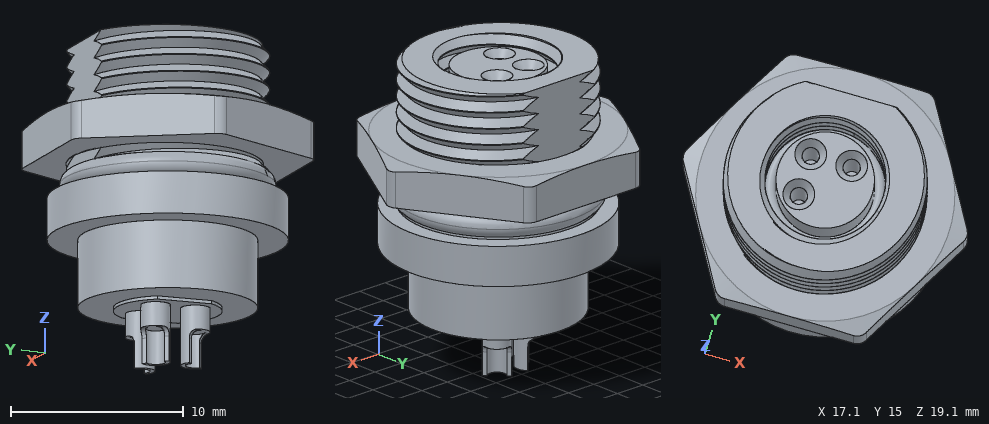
import cadquery as cq
import math

TOTAL_HEIGHT = 19.1

PITCHES_PER_BARREL = 9
THREAD_DEPTH = 0.45
CREST_FLAT = 0.05
GROOVE_OVERSHOOT = 0.02

TAIL_BOTTOM = 3.6
TAIL_RADIUS = 5.21
FLANGE_BOTTOM = 7.6
FLANGE_TOP = 10.1
FLANGE_RADIUS = 7.0
BARREL_RADIUS = 5.9
BARREL_FLAT_Y = 5.2
GROOVE_TURNS = 7.5
GROOVE_START = 90.0
SEAL_TUBE_RADIUS = 0.7
SEAL_OUTER_RADIUS = 6.26
SEAL_HEIGHT = 10.87

MOUTH_RADIUS = 3.5
MOUTH_DEPTH = 3.0
MOUTH_CHAMFER = 0.23
MOUTH_GROOVE_TURNS = 2.5
MOUTH_GROOVE_START = 78.0
INSERT_RADIUS = 2.85
INSERT_RECESS = 0.44

CONTACT_OFFSET = 1.232
CONTACT_QUADRANTS = [(-1, 1), (-1, -1), (1, 1)]
SOCKET_RADIUS = 0.5
SOCKET_DEPTH = 4.0
COUNTERSINK_RADIUS = 0.92
COUNTERSINK_DEPTH = 0.5
PIN_RADIUS = 0.85
CUP_RADIUS = 0.57
CUP_HEIGHT = 1.99
CUP_FILLET = 0.5

BOSS_RADIUS = 3.15
BOSS_WIDTH = 5.35
BOSS_HEIGHT = 0.2

NUT_ACROSS_FLATS = 15.0
NUT_BOTTOM = 12.09
NUT_THICKNESS = 2.5
NUT_CORNER_RADIUS = 0.76
NUT_CHAMFER_ANGLE = 15.0
NUT_BORE_RADIUS = 5.54
NUT_TURN = 30.0

PITCH = (TOTAL_HEIGHT - FLANGE_TOP) / PITCHES_PER_BARREL
BARREL_ROOT_RADIUS = BARREL_RADIUS - THREAD_DEPTH
MOUTH_ROOT_RADIUS = MOUTH_RADIUS + THREAD_DEPTH
ROD_TOP = TOTAL_HEIGHT + 2 * PITCH
MOUTH_FLOOR = TOTAL_HEIGHT - MOUTH_DEPTH
INSERT_TOP = TOTAL_HEIGHT - INSERT_RECESS
NUT_TOP = NUT_BOTTOM + NUT_THICKNESS
BOSS_BOTTOM = TAIL_BOTTOM - BOSS_HEIGHT


def disc(radius, bottom, top):
    """Upright cylinder on the Z axis between two heights."""
    return cq.Workplane("XY").workplane(offset=bottom).circle(radius).extrude(top - bottom)


def thread_groove(crest_radius, root_radius, turns, start_angle):
    """V-shaped helical cutter that starts `turns` below the top face at `start_angle` from +X.

    It runs one more turn above the top face, so that the thread is cut through there.
    """
    outward = math.copysign(1, crest_radius - root_radius)
    half_width = (PITCH - CREST_FLAT) / 2
    stretch = 1 + GROOVE_OVERSHOOT / THREAD_DEPTH
    base_radius = root_radius + outward * THREAD_DEPTH * stretch
    base_half = half_width * stretch
    helix = cq.Wire.makeHelix(PITCH, (turns + 1) * PITCH, root_radius)
    profile = (
        cq.Workplane("XZ")
        .moveTo(root_radius, 0)
        .lineTo(base_radius, base_half)
        .lineTo(base_radius, -base_half)
        .close()
    )
    groove = profile.sweep(cq.Workplane(obj=helix), isFrenet=True)
    return groove.rotate((0, 0, 0), (0, 0, 1), start_angle).translate((0, 0, TOTAL_HEIGHT - turns * PITCH))


def make_threaded_rod():
    """Round rod with the outer thread, longer than the barrel so that both threads run past its end."""
    rod = disc(BARREL_RADIUS, FLANGE_TOP, ROD_TOP)
    return rod.cut(thread_groove(BARREL_RADIUS, BARREL_ROOT_RADIUS, GROOVE_TURNS, GROOVE_START))


def trim_to_barrel(rod):
    """Cut the rod off at the top face of the housing."""
    return rod.intersect(disc(2 * BARREL_RADIUS, FLANGE_TOP, TOTAL_HEIGHT))


def make_barrel(rod):
    """Barrel with the threaded mouth, its entry chamfer and the flat on the +Y side."""
    bored = rod.cut(disc(MOUTH_RADIUS, MOUTH_FLOOR, ROD_TOP))
    bored = bored.cut(thread_groove(MOUTH_RADIUS, MOUTH_ROOT_RADIUS, MOUTH_GROOVE_TURNS, MOUTH_GROOVE_START))
    entry = (
        cq.Workplane("XZ")
        .moveTo(0, TOTAL_HEIGHT - MOUTH_CHAMFER)
        .lineTo(MOUTH_RADIUS, TOTAL_HEIGHT - MOUTH_CHAMFER)
        .lineTo(MOUTH_RADIUS + MOUTH_CHAMFER, TOTAL_HEIGHT)
        .lineTo(0, TOTAL_HEIGHT)
        .close()
        .revolve(360, (0, 0, 0), (0, 1, 0))
    )
    flat = (
        cq.Workplane("XY")
        .box(2 * BARREL_RADIUS, BARREL_RADIUS, TOTAL_HEIGHT, centered=(True, False, False))
        .translate((0, BARREL_FLAT_Y, SEAL_HEIGHT))
    )
    return trim_to_barrel(bored).cut(entry).cut(flat)


def ring(center_radius, tube_radius, height):
    """Round ring about the Z axis."""
    return (
        cq.Workplane("XZ")
        .center(center_radius, height)
        .circle(tube_radius)
        .revolve(360, (-center_radius, 0, 0), (-center_radius, 1, 0))
    )


def make_contact_pin():
    """Solder pin on the Z axis whose cup is open toward +X."""
    pin = disc(PIN_RADIUS, 0, BOSS_BOTTOM)
    opening = (
        cq.Workplane("XY")
        .box(2 * PIN_RADIUS, 2 * PIN_RADIUS, CUP_HEIGHT, centered=(False, True, False))
        .edges("<X and >Z")
        .fillet(CUP_FILLET)
    )
    return pin.cut(opening).cut(disc(CUP_RADIUS, 0, CUP_HEIGHT))


def make_contact_socket():
    """Countersunk blind hole on the Z axis, to be removed from the insert."""
    hole = disc(SOCKET_RADIUS, INSERT_TOP - SOCKET_DEPTH, INSERT_TOP)
    countersink = (
        cq.Workplane("XY")
        .workplane(offset=INSERT_TOP)
        .circle(COUNTERSINK_RADIUS)
        .workplane(offset=-COUNTERSINK_DEPTH)
        .circle(SOCKET_RADIUS)
        .loft(ruled=True)
    )
    return hole.union(countersink)


def place_contact(feature, quadrant):
    """Move a contact feature into its quadrant with its +X side facing away from the axis."""
    x_sign, y_sign = quadrant
    angle = math.degrees(math.atan2(y_sign, x_sign))
    turned = feature.rotate((0, 0, 0), (0, 0, 1), angle)
    return turned.translate((x_sign * CONTACT_OFFSET, y_sign * CONTACT_OFFSET, 0))


def make_connector(rod):
    """Housing with seal ring, insert and contacts, in one piece."""
    connector = make_barrel(rod)
    connector = connector.union(disc(FLANGE_RADIUS, FLANGE_BOTTOM, FLANGE_TOP))
    connector = connector.union(disc(TAIL_RADIUS, TAIL_BOTTOM, FLANGE_BOTTOM))
    connector = connector.union(ring(SEAL_OUTER_RADIUS - SEAL_TUBE_RADIUS, SEAL_TUBE_RADIUS, SEAL_HEIGHT))

    connector = connector.union(disc(INSERT_RADIUS, MOUTH_FLOOR, INSERT_TOP))
    gap_middle = (MOUTH_RADIUS + INSERT_RADIUS) / 2
    gap_half = (MOUTH_RADIUS - INSERT_RADIUS) / 2
    connector = connector.union(ring(gap_middle, gap_half, MOUTH_FLOOR))

    boss = disc(BOSS_RADIUS, BOSS_BOTTOM, TAIL_BOTTOM)
    boss_slab = cq.Workplane("XY").box(BOSS_WIDTH, 2 * BOSS_RADIUS, 2 * TOTAL_HEIGHT)
    connector = connector.union(boss.intersect(boss_slab))

    for quadrant in CONTACT_QUADRANTS:
        connector = connector.union(place_contact(make_contact_pin(), quadrant))
        connector = connector.cut(place_contact(make_contact_socket(), quadrant))
    return connector


def make_nut(rod):
    """Hexagon nut, chamfered on top, with a thread that matches the barrel."""
    blank = (
        cq.Workplane("XY")
        .workplane(offset=NUT_BOTTOM)
        .transformed(rotate=(0, 0, NUT_TURN))
        .polygon(6, NUT_ACROSS_FLATS, circumscribed=True)
        .extrude(NUT_THICKNESS)
        .edges("|Z")
        .fillet(NUT_CORNER_RADIUS)
    )
    flat_radius = NUT_ACROSS_FLATS / 2
    rim_radius = NUT_ACROSS_FLATS
    rim_drop = (rim_radius - flat_radius) * math.tan(math.radians(NUT_CHAMFER_ANGLE))
    chamfer_cone = (
        cq.Workplane("XZ")
        .moveTo(0, 0)
        .lineTo(rim_radius, 0)
        .lineTo(rim_radius, NUT_TOP - rim_drop)
        .lineTo(flat_radius, NUT_TOP)
        .lineTo(0, NUT_TOP)
        .close()
        .revolve(360, (0, 0, 0), (0, 1, 0))
    )
    nut = blank.intersect(chamfer_cone)
    return nut.cut(trim_to_barrel(rod)).cut(disc(NUT_BORE_RADIUS, FLANGE_TOP, TOTAL_HEIGHT))


threaded_rod = make_threaded_rod()
connector = make_connector(threaded_rod)
nut = make_nut(threaded_rod)

result = cq.Compound.makeCompound([connector.val(), nut.val()])